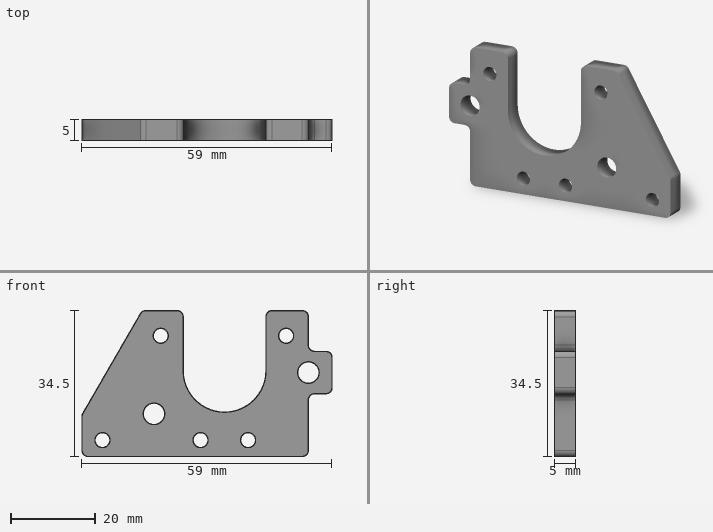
import cadquery as cq

length = 59.0
height = 34.45
thickness = 5.0

body_right = 53.4
left_edge_height = 9.85
slope_top_x = 14.2
corner_radius = 1.5

slot_center_x = 33.65
slot_center_z = 20.25
slot_radius = 9.75
slot_left = slot_center_x - slot_radius
slot_right = slot_center_x + slot_radius

ear_width = 10.05
ear_center_z = 19.85
ear_bottom = ear_center_z - ear_width / 2
ear_top = ear_center_z + ear_width / 2

small_diameter = 3.5
large_diameter = 5.0
upper_row_z = 28.5
lower_row_z = 3.9
small_holes = [
    (18.6, upper_row_z),
    (48.15, upper_row_z),
    (4.85, lower_row_z),
    (28.0, lower_row_z),
    (39.2, lower_row_z),
]
large_holes = [(17.0, 10.1), (body_right, ear_center_z)]


def make_plate():
    """Extrude the sharp-cornered outline, including the U-shaped slot."""
    return (
        cq.Workplane("XZ")
        .moveTo(0, 0)
        .lineTo(body_right, 0)
        .lineTo(body_right, ear_bottom)
        .lineTo(length, ear_bottom)
        .lineTo(length, ear_top)
        .lineTo(body_right, ear_top)
        .lineTo(body_right, height)
        .lineTo(slot_right, height)
        .lineTo(slot_right, slot_center_z)
        .threePointArc(
            (slot_center_x, slot_center_z - slot_radius),
            (slot_left, slot_center_z),
        )
        .lineTo(slot_left, height)
        .lineTo(slope_top_x, height)
        .lineTo(0, left_edge_height)
        .close()
        .extrude(-thickness)
    )


def edge_at(corner):
    """Selector for the corner edge running through the thickness at (x, z)."""
    x, z = corner
    return cq.selectors.NearestToPointSelector((x, thickness / 2, z))


def round_corners(plate, corners, radius):
    """Fillet the outline corners, both convex and concave."""
    for corner in corners:
        plate = plate.edges(edge_at(corner)).fillet(radius)
    return plate


def drill_holes(plate, centers, diameter):
    """Cut equal round holes right through the thickness."""
    holes = cq.Workplane("XZ").pushPoints(centers).circle(diameter / 2).extrude(-thickness)
    return plate.cut(holes)


rounded_corners = [
    (0, 0),
    (body_right, 0),
    (body_right, ear_bottom),
    (length, ear_bottom),
    (length, ear_top),
    (body_right, ear_top),
    (body_right, height),
    (slot_right, height),
    (slot_left, height),
    (slope_top_x, height),
    (0, left_edge_height),
]

result = make_plate()
result = round_corners(result, rounded_corners, corner_radius)
result = drill_holes(result, small_holes, small_diameter)
result = drill_holes(result, large_holes, large_diameter)